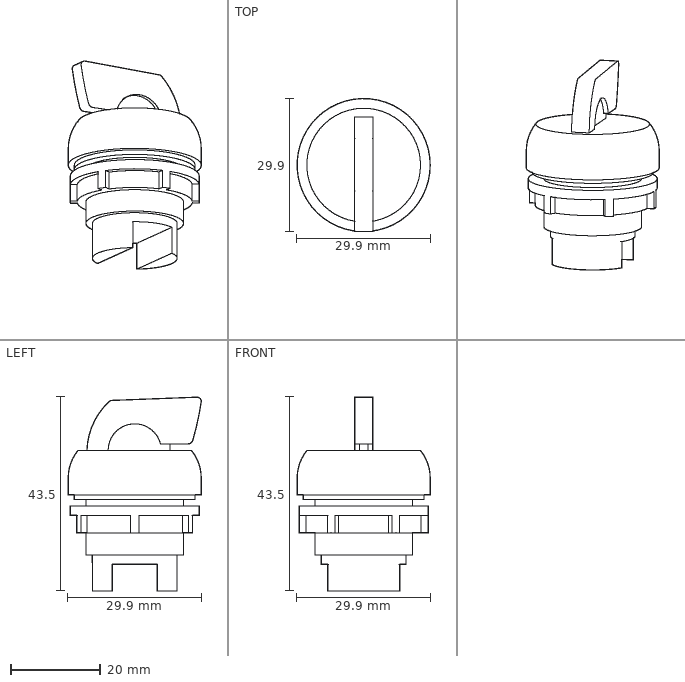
import cadquery as cq
import math

SLOT_TOP = 6.0
LEG_TOP = 8.1
NUT_BOTTOM = 13.05
LUG_TOP = 16.95
NUT_TOP = 19.1
COLLAR_BOTTOM = 20.55
FLANGE_BOTTOM = 21.58
DOME_BOTTOM = 25.35
DOME_TOP = 31.55
TOTAL_HEIGHT = 43.5

LEG_RADIUS = 9.53
SHAFT_RADIUS = 10.95
COLLAR_RADIUS = 13.57
FLANGE_RADIUS = 29.9 / 2
DOME_TOP_RADIUS = 12.75
SLOT_WIDTH = 10.05

NUT_RADIUS = 14.5
NUT_CORE_RADIUS = 12.9
LUG_COUNT = 6
LUG_WIDTH = 1.95

LEVER_THICKNESS = 4.1
LEVER_UNDERSIDE = 32.97
HEEL_REACH = -10.75
HEEL_BULGE = (-8.85, 38.55)
BACK_CORNER = (-5.5, 42.75)
TIP_CORNER = (15.1, TOTAL_HEIGHT + 0.05)
NOSE_BULGE = (14.3, 38.9)
NOSE_BOTTOM_REACH = 12.8
BACK_FILLET = 1.0
TIP_FILLET = 1.0
NOSE_FILLET = 1.2
RECESS_RADIUS = 5.95
WEB_THICKNESS = 1.95
WEB_REACH = 7.9


def make_turned_housing():
    """Solid of revolution whose domed top meets the flange tangentially."""
    inset = FLANGE_RADIUS - DOME_TOP_RADIUS
    rise = DOME_TOP - DOME_BOTTOM
    dome_arc_radius = (inset**2 + rise**2) / (2 * inset)
    half_angle = math.asin(rise / dome_arc_radius) / 2
    dome_middle = (
        FLANGE_RADIUS - dome_arc_radius * (1 - math.cos(half_angle)),
        DOME_BOTTOM + dome_arc_radius * math.sin(half_angle),
    )
    return (
        cq.Workplane("XZ")
        .moveTo(0, 0)
        .lineTo(LEG_RADIUS, 0)
        .lineTo(LEG_RADIUS, LEG_TOP)
        .lineTo(SHAFT_RADIUS, LEG_TOP)
        .lineTo(SHAFT_RADIUS, COLLAR_BOTTOM)
        .lineTo(COLLAR_RADIUS, COLLAR_BOTTOM)
        .lineTo(COLLAR_RADIUS, FLANGE_BOTTOM)
        .lineTo(FLANGE_RADIUS, FLANGE_BOTTOM)
        .lineTo(FLANGE_RADIUS, DOME_BOTTOM)
        .threePointArc(dome_middle, (DOME_TOP_RADIUS, DOME_TOP))
        .lineTo(0, DOME_TOP)
        .close()
        .revolve(360, (0, 0, 0), (0, 1, 0))
    )


def make_leg_slot():
    """Slot along X that divides the foot into two legs."""
    return cq.Workplane("XY").box(
        2 * FLANGE_RADIUS, SLOT_WIDTH, SLOT_TOP, centered=(True, True, False)
    )


def side_plane():
    """Plane across the lever: local x is the reach toward -Y, local y is height."""
    return cq.Workplane(cq.Plane(origin=(0, 0, 0), xDir=(0, -1, 0), normal=(-1, 0, 0)))


def round_corner(lever, corner, radius):
    """Fillet the edge along X nearest to a corner of the lever outline."""
    reach, height = corner
    edge = cq.selectors.NearestToPointSelector((0, -reach, height))
    return lever.edges("|X").edges(edge).fillet(radius)


def make_lever():
    """Curved grip with a round recess in each side, leaving a thin web in the middle."""
    nose_corner = (NOSE_BOTTOM_REACH, LEVER_UNDERSIDE)
    recess_end = math.sqrt(RECESS_RADIUS**2 - (LEVER_UNDERSIDE - DOME_TOP) ** 2)
    grip = (
        side_plane()
        .moveTo(HEEL_REACH, DOME_TOP)
        .threePointArc(HEEL_BULGE, BACK_CORNER)
        .lineTo(*TIP_CORNER)
        .threePointArc(NOSE_BULGE, nose_corner)
        .lineTo(recess_end, LEVER_UNDERSIDE)
        .threePointArc((0, DOME_TOP + RECESS_RADIUS), (-RECESS_RADIUS, DOME_TOP))
        .close()
        .extrude(LEVER_THICKNESS / 2, both=True)
    )
    grip = round_corner(grip, BACK_CORNER, BACK_FILLET)
    grip = round_corner(grip, TIP_CORNER, TIP_FILLET)
    grip = round_corner(grip, nose_corner, NOSE_FILLET)
    web = (
        side_plane()
        .moveTo(-RECESS_RADIUS, DOME_TOP)
        .threePointArc((0, DOME_TOP + RECESS_RADIUS), (recess_end, LEVER_UNDERSIDE))
        .lineTo(WEB_REACH, LEVER_UNDERSIDE)
        .lineTo(WEB_REACH, DOME_TOP)
        .close()
        .extrude(WEB_THICKNESS / 2, both=True)
    )
    return grip.union(web)


def make_housing():
    """Turned housing with its two legs and the lever on top."""
    return make_turned_housing().cut(make_leg_slot()).union(make_lever())


def make_nut():
    """Ring nut around the shaft: a full rim above a smaller core with grip lugs."""
    lug_height = LUG_TOP - NUT_BOTTOM
    base = cq.Workplane("XY").workplane(offset=NUT_BOTTOM)
    rim = cq.Workplane("XY").workplane(offset=LUG_TOP).circle(NUT_RADIUS).extrude(NUT_TOP - LUG_TOP)
    nut = base.circle(NUT_CORE_RADIUS).extrude(lug_height).union(rim)
    lug_envelope = base.circle(NUT_RADIUS).extrude(lug_height)
    for index in range(LUG_COUNT // 2):
        bar = base.rect(2 * FLANGE_RADIUS, LUG_WIDTH).extrude(lug_height)
        bar = bar.rotate((0, 0, 0), (0, 0, 1), index * 360 / LUG_COUNT)
        nut = nut.union(bar.intersect(lug_envelope))
    bore = base.circle(SHAFT_RADIUS).extrude(NUT_TOP - NUT_BOTTOM)
    return nut.cut(bore)


housing = make_housing()
nut = make_nut()
result = cq.Compound.makeCompound([housing.solids().val(), nut.solids().val()])